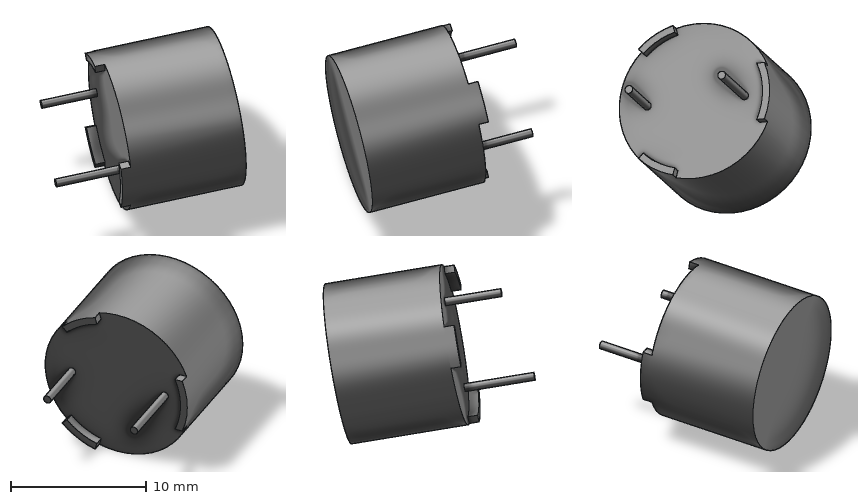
import cadquery as cq
import math

body_diameter = 12.0
body_length = 8.75
body_radius = body_diameter / 2

tab_height = 0.74
tab_inner_radius = 5.45
wide_tab_half_width = 2.18
narrow_tab_angles = (120, 240)
narrow_tab_half_angle = 15

pin_diameter = 0.6
pin_offset = 3.8
short_pin_end = 12.98
long_pin_end = 14


def front_plane(y):
    """Sketch plane facing -Y, with local x along +X and local y along +Z."""
    return cq.Workplane("XZ", origin=(0, y, 0))


def polar(radius, angle):
    """Point at the given radius and angle in degrees."""
    return (radius * math.cos(math.radians(angle)), radius * math.sin(math.radians(angle)))


def rim_ring():
    """Full ring from which the parallel-sided tab is cut."""
    return front_plane(-body_length).circle(body_radius).circle(tab_inner_radius).extrude(tab_height)


def wide_tab():
    """Tab on the +X side, with sides parallel to X."""
    strip = (
        front_plane(-body_length)
        .center(body_radius / 2, 0)
        .rect(body_radius, 2 * wide_tab_half_width)
        .extrude(tab_height)
    )
    return rim_ring().intersect(strip)


def narrow_tab(angle):
    """Tab with radial sides, centred on the given angle."""
    start = angle - narrow_tab_half_angle
    end = angle + narrow_tab_half_angle
    return (
        front_plane(-body_length)
        .moveTo(*polar(tab_inner_radius, start))
        .lineTo(*polar(body_radius, start))
        .threePointArc(polar(body_radius, angle), polar(body_radius, end))
        .lineTo(*polar(tab_inner_radius, end))
        .threePointArc(polar(tab_inner_radius, angle), polar(tab_inner_radius, start))
        .close()
        .extrude(tab_height)
    )


def pin(x, end):
    """Round lead from the pin face out to the given distance from the back."""
    return front_plane(-body_length).center(x, 0).circle(pin_diameter / 2).extrude(end - body_length)


result = front_plane(0).circle(body_radius).extrude(body_length)
result = result.union(wide_tab())
for tab_angle in narrow_tab_angles:
    result = result.union(narrow_tab(tab_angle))
result = result.union(pin(-pin_offset, short_pin_end))
result = result.union(pin(pin_offset, long_pin_end))